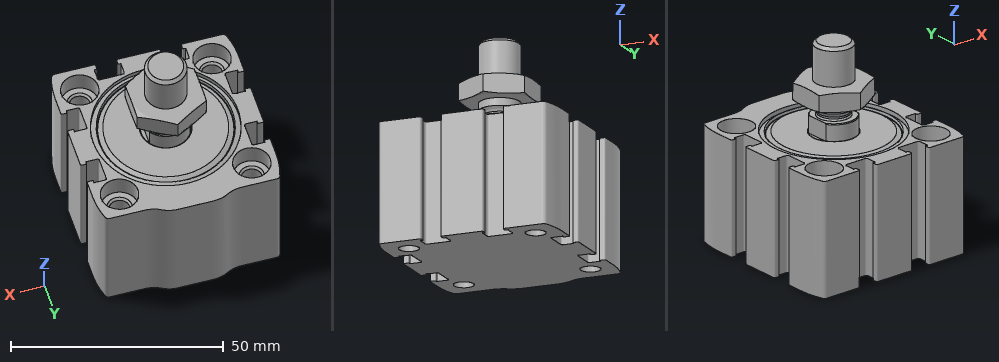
import cadquery as cq
import math

WIDTH = 45.0
HALF_WIDTH = WIDTH / 2
HOUSING_HEIGHT = 30.0
FLANK_FLAT_HALF = 15.5
FLANK_INSET = 1.25
CORNER_RADIUS = 1.0

PAD_HEIGHT = 2.0
PAD_TOP_HALF = 4.4
PAD_FOOT_HALF = 11.8

SLOT_OFFSET = 7.95
SLOT_MOUTH_WIDTH = 5.1
SLOT_WIDTH = 6.5
SLOT_DEPTH = 4.65
SLOT_LIP = 1.55
LIP_RADIUS = 0.4
SLOT_CORNER_RADIUS = 0.5
LIP_INNER_RADIUS = 0.2

HOLE_OFFSET = 16.2
HOLE_DIAMETER = 4.95
HOLE_MOUTH_DIAMETER = 6.0
COUNTERBORE_DIAMETER = 9
COUNTERBORE_DEPTH = 5.0

RECESS_DIAMETER = 35.4
RECESS_DEPTH = 1.15
RIDGE_DIAMETER = 32.7
RIDGE_DEPTH = 0.3
GROOVE_OUTER_DIAMETER = 32.35
GROOVE_INNER_DIAMETER = 32.0
GROOVE_DEPTH = 1.05
PLATE_EDGE_DIAMETER = 30.2
PLATE_EDGE_DEPTH = 0.4
PLATE_TOP_DIAMETER = 29.6
PLATE_DEPTH = 0.3

ROD_TOP = 53
ROD_DIAMETER = 12.0
ROD_SOCKET_DEPTH = 5.0
SOCKET_CHAMFER = 0.2
ROD_FLAT_WIDTH = 10.0
COLLAR_HEIGHT = 4.05
COLLAR_CHAMFER = 0.2
THREAD_DIAMETER = 10.0
THREAD_BOTTOM = 36.15
THREAD_TIP_CHAMFER = 0.8
NECK_DIAMETER = 8.1
NECK_END_DIAMETER = 8.65
NECK_FLARE_HEIGHT = 0.5

NUT_FLATS = 17.0
NUT_HEIGHT = 5.0
NUT_BOTTOM = 38.05
NUT_BEVEL_DIAMETER = 16.75
NUT_BEVEL_DROP = 0.35

COLLAR_TOP = HOUSING_HEIGHT + COLLAR_HEIGHT
PLATE_TOP = HOUSING_HEIGHT - PLATE_DEPTH
SOCKET_FLOOR = PLATE_TOP - ROD_SOCKET_DEPTH


def revolved(points):
    """Solid of revolution about Z from (radius, height) points."""
    return cq.Workplane("XZ").polyline(points).close().revolve(360, (0, 0), (0, 1))


def make_block():
    """Extruded outline with bowed X sides and a rounded pad on the +Y side."""
    bow_length = HALF_WIDTH - FLANK_FLAT_HALF
    bow_radius = (bow_length**2 + FLANK_INSET**2) / (2 * FLANK_INSET)
    half_angle = math.asin(bow_length / bow_radius) / 2
    bow_x = HALF_WIDTH - bow_radius * (1 - math.cos(half_angle))
    bow_y = FLANK_FLAT_HALF + bow_radius * math.sin(half_angle)
    corner_x = HALF_WIDTH - FLANK_INSET

    pad_top = HALF_WIDTH + PAD_HEIGHT
    pad_middle = ((PAD_TOP_HALF + PAD_FOOT_HALF) / 2, HALF_WIDTH + PAD_HEIGHT / 2)

    half_outline = (
        cq.Workplane("XY")
        .moveTo(0, -HALF_WIDTH)
        .lineTo(corner_x, -HALF_WIDTH)
        .threePointArc((bow_x, -bow_y), (HALF_WIDTH, -FLANK_FLAT_HALF))
        .lineTo(HALF_WIDTH, FLANK_FLAT_HALF)
        .threePointArc((bow_x, bow_y), (corner_x, HALF_WIDTH))
        .lineTo(PAD_FOOT_HALF, HALF_WIDTH)
        .tangentArcPoint(pad_middle, relative=False)
        .tangentArcPoint((PAD_TOP_HALF, pad_top), relative=False)
        .lineTo(0, pad_top)
        .close()
    )
    half_block = half_outline.extrude(HOUSING_HEIGHT)
    block = half_block.union(half_block.mirror("YZ"))
    for side_x in (-1, 1):
        for side_y in (-1, 1):
            corner = cq.selectors.NearestToPointSelector(
                (side_x * corner_x, side_y * HALF_WIDTH, HOUSING_HEIGHT / 2)
            )
            block = block.edges(corner).fillet(CORNER_RADIUS)
    return block


def make_slot_cutter():
    """T-slot along Z, opening through the -Y face at X = 0, with rounded corners and lips."""
    mouth_half = SLOT_MOUTH_WIDTH / 2
    slot_half = SLOT_WIDTH / 2
    face = -HALF_WIDTH
    inner_lip = face + SLOT_LIP
    floor = face + SLOT_DEPTH
    outside = face - SLOT_LIP

    strip_half = SLOT_WIDTH
    outline = [
        (-strip_half, outside),
        (strip_half, outside),
        (strip_half, face),
        (mouth_half, face),
        (mouth_half, inner_lip),
        (slot_half, inner_lip),
        (slot_half, floor),
        (-slot_half, floor),
        (-slot_half, inner_lip),
        (-mouth_half, inner_lip),
        (-mouth_half, face),
        (-strip_half, face),
    ]
    cutter = cq.Workplane("XY").polyline(outline).close().extrude(HOUSING_HEIGHT)
    middle = HOUSING_HEIGHT / 2
    for x, y, radius in (
        (mouth_half, face, LIP_RADIUS),
        (mouth_half, inner_lip, LIP_INNER_RADIUS),
        (slot_half, floor, SLOT_CORNER_RADIUS),
    ):
        for side in (-1, 1):
            corner = cq.selectors.NearestToPointSelector((side * x, y, middle))
            cutter = cutter.edges(corner).fillet(radius)
    return cutter


def cut_slots(block):
    """Two slots on each of the -Y, +X and -X sides."""
    slot = make_slot_cutter()
    for turn in (-90, 0, 90):
        for offset in (-SLOT_OFFSET, SLOT_OFFSET):
            placed = slot.translate((offset, 0, 0)).rotate((0, 0, 0), (0, 0, 1), turn)
            block = block.cut(placed)
    return block


def cut_mounting_holes(block):
    """Counterbored through holes, chamfered at the counterbore floor."""
    floor = HOUSING_HEIGHT - COUNTERBORE_DEPTH
    chamfer = (HOLE_MOUTH_DIAMETER - HOLE_DIAMETER) / 2
    hole = revolved([
        (0, 0),
        (HOLE_DIAMETER / 2, 0),
        (HOLE_DIAMETER / 2, floor - chamfer),
        (HOLE_MOUTH_DIAMETER / 2, floor),
        (COUNTERBORE_DIAMETER / 2, floor),
        (COUNTERBORE_DIAMETER / 2, HOUSING_HEIGHT),
        (0, HOUSING_HEIGHT),
    ])
    for x in (-HOLE_OFFSET, HOLE_OFFSET):
        for y in (-HOLE_OFFSET, HOLE_OFFSET):
            block = block.cut(hole.translate((x, y, 0)))
    return block


def cut_recess(block):
    """Round recess whose floor has a sharp ridge and a groove round a flat plate."""
    recess = revolved([
        (RECESS_DIAMETER / 2, HOUSING_HEIGHT),
        (RECESS_DIAMETER / 2, HOUSING_HEIGHT - RECESS_DEPTH),
        (RIDGE_DIAMETER / 2, HOUSING_HEIGHT - RIDGE_DEPTH),
        (GROOVE_OUTER_DIAMETER / 2, HOUSING_HEIGHT - GROOVE_DEPTH),
        (GROOVE_INNER_DIAMETER / 2, HOUSING_HEIGHT - GROOVE_DEPTH),
        (PLATE_EDGE_DIAMETER / 2, HOUSING_HEIGHT - PLATE_EDGE_DEPTH),
        (PLATE_TOP_DIAMETER / 2, PLATE_TOP),
        (0, PLATE_TOP),
        (0, HOUSING_HEIGHT),
    ])
    return block.cut(recess)


def cut_rod_socket(block):
    """Blind bore for the rod, chamfered at its mouth."""
    radius = ROD_DIAMETER / 2
    socket = revolved([
        (0, SOCKET_FLOOR),
        (radius, SOCKET_FLOOR),
        (radius, PLATE_TOP - SOCKET_CHAMFER),
        (radius + SOCKET_CHAMFER, PLATE_TOP),
        (0, PLATE_TOP),
    ])
    return block.cut(socket)


def make_housing():
    housing = cut_slots(make_block())
    housing = cut_mounting_holes(housing)
    housing = cut_recess(housing)
    return cut_rod_socket(housing)


def make_rod():
    """Turned rod with a necked, threaded end and two wrench flats on its collar."""
    rod_radius = ROD_DIAMETER / 2
    thread_radius = THREAD_DIAMETER / 2
    neck_radius = NECK_DIAMETER / 2
    neck_end_radius = NECK_END_DIAMETER / 2
    neck_top = THREAD_BOTTOM - (thread_radius - neck_end_radius)
    rod = revolved([
        (0, SOCKET_FLOOR),
        (rod_radius, SOCKET_FLOOR),
        (rod_radius, COLLAR_TOP - COLLAR_CHAMFER),
        (rod_radius - COLLAR_CHAMFER, COLLAR_TOP),
        (neck_end_radius, COLLAR_TOP),
        (neck_radius, COLLAR_TOP + NECK_FLARE_HEIGHT),
        (neck_radius, neck_top - NECK_FLARE_HEIGHT),
        (neck_end_radius, neck_top),
        (thread_radius, THREAD_BOTTOM),
        (thread_radius, ROD_TOP - THREAD_TIP_CHAMFER),
        (thread_radius - THREAD_TIP_CHAMFER, ROD_TOP),
        (0, ROD_TOP),
    ])
    flat_bottom = PLATE_TOP - SOCKET_CHAMFER
    flat_height = COLLAR_TOP - flat_bottom
    for side in (-1, 1):
        flat_cut = (
            cq.Workplane("XY", origin=(side * (ROD_FLAT_WIDTH + ROD_DIAMETER) / 2, 0, flat_bottom))
            .box(ROD_DIAMETER, ROD_DIAMETER, flat_height, centered=(True, True, False))
        )
        rod = rod.cut(flat_cut)
    return rod


def make_nut():
    """Hexagon nut with corners on the Y axis, bevelled on both faces."""
    corner_radius = NUT_FLATS / math.sqrt(3)
    bevel_radius = NUT_BEVEL_DIAMETER / 2
    nut_top = NUT_BOTTOM + NUT_HEIGHT
    hexagon = (
        cq.Workplane("XY", origin=(0, 0, NUT_BOTTOM))
        .transformed(rotate=(0, 0, 90))
        .polygon(6, 2 * corner_radius)
        .extrude(NUT_HEIGHT)
    )
    envelope = revolved([
        (THREAD_DIAMETER / 2, NUT_BOTTOM),
        (bevel_radius, NUT_BOTTOM),
        (corner_radius, NUT_BOTTOM + NUT_BEVEL_DROP),
        (corner_radius, nut_top - NUT_BEVEL_DROP),
        (bevel_radius, nut_top),
        (THREAD_DIAMETER / 2, nut_top),
    ])
    return hexagon.intersect(envelope)


housing = make_housing()
rod = make_rod()
nut = make_nut()

result = cq.Compound.makeCompound([housing.val(), rod.val(), nut.val()])